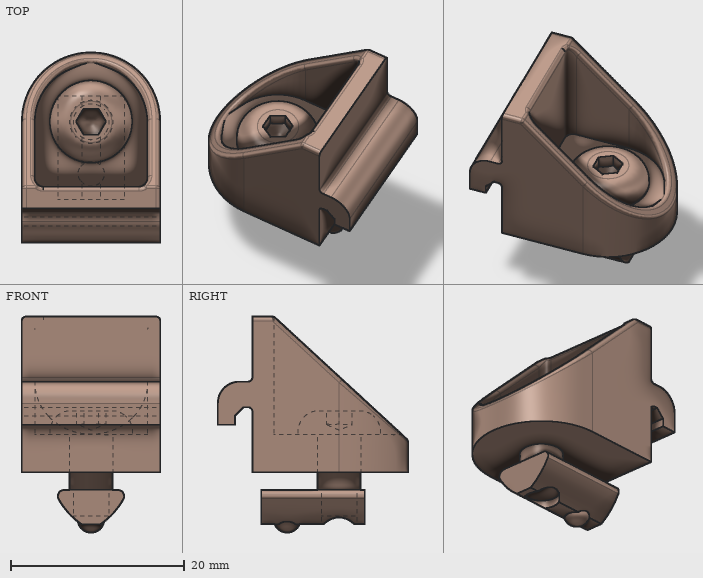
import cadquery as cq
import math


WIDTH = 16.0
HALF_WIDTH = WIDTH / 2
BACK_Y = -10.0
HEIGHT = 18.0
CREST_Y = -7.5
FRONT_HEIGHT = 3.7
EDGE_RADIUS = 0.5

POCKET_MARGIN = 1.5
POCKET_HALF_WIDTH = HALF_WIDTH - POCKET_MARGIN
POCKET_FLOOR_Z = 4.4
POCKET_CORNER_RADIUS = 1.0
SLACK = 0.02

HOOK_TIP_Y = -14.0
HOOK_TOP_Z = 10.48
HOOK_BOTTOM_Z = 5.5
HOOK_UNDERSIDE_Z = 7.5
HOOK_INNER_Y = -12.0
HOOK_OUTER_RADIUS = 2.5
HOOK_CHAMFER = 1.0
HOOK_ROOT_RADIUS = 0.5

SHANK_DIAMETER = 5.0
THREAD_DIAMETER = 4.15
HEAD_DIAMETER = 9.5
HEAD_FLAT_DIAMETER = 4.77
HEAD_HEIGHT = 2.75
SOCKET_FLATS = 3.0
SOCKET_DEPTH = 1.5
SOCKET_CONE_DEPTH = 0.75

NUT_TOP_Z = -2.02
NUT_HEIGHT = 3.97
NUT_FRONT_Y = 3.0
NUT_LENGTH = 11.98
NUT_TOP_FLAT = 6.2
NUT_BOTTOM_FLAT = 2.17
NUT_SHOULDER_RADIUS = 0.75
NUT_SHOULDER_SWEEP = 108
NUT_FLANK_BULGE = 0.25
THREAD_END_Z = -5.0
BALL_RADIUS = 1.55
BALL_Y = -6.0
BALL_BOTTOM_Z = HEIGHT - 24.95


def cylinder(diameter, bottom_z, top_z):
    return cq.Workplane("XY").workplane(offset=bottom_z).circle(diameter / 2).extrude(top_z - bottom_z)


def d_outline(plane, half_width, back_y, front_center_y=0):
    """Rectangle closed by a half circle at the front."""
    return (
        plane.moveTo(-half_width, back_y)
        .lineTo(half_width, back_y)
        .lineTo(half_width, front_center_y)
        .threePointArc((0, front_center_y + half_width), (-half_width, front_center_y))
        .close()
    )


def make_block():
    block = d_outline(cq.Workplane("XY"), HALF_WIDTH, BACK_Y).extrude(HEIGHT)
    side_profile = (
        cq.Workplane("YZ")
        .polyline([
            (BACK_Y, 0),
            (HALF_WIDTH, 0),
            (HALF_WIDTH, FRONT_HEIGHT),
            (CREST_Y, HEIGHT),
            (BACK_Y, HEIGHT),
        ])
        .close()
        .extrude(HALF_WIDTH, both=True)
    )
    block = block.intersect(side_profile)
    level_and_slope = block.faces(">Z").add(block.faces("%PLANE").faces("not (#Z or |Z)"))
    return level_and_slope.edges("not (<Y and |X)").fillet(EDGE_RADIUS)


def cut_pocket(block):
    """Cut right through, round the rim, then fill up to the floor so the floor may trim the rounded rim."""
    pocket = d_outline(cq.Workplane("XY"), POCKET_HALF_WIDTH, CREST_Y).extrude(HEIGHT)
    pocket = pocket.edges("|Z and <Y").fillet(POCKET_CORNER_RADIUS)
    rim_zone = cq.selectors.BoxSelector(
        (-POCKET_HALF_WIDTH - SLACK, CREST_Y - SLACK, SLACK),
        (POCKET_HALF_WIDTH + SLACK, POCKET_HALF_WIDTH + SLACK, HEIGHT + SLACK),
        boundingbox=True,
    )
    rounded = block.cut(pocket).edges(rim_zone).edges("not |Z").fillet(EDGE_RADIUS)
    filling = d_outline(
        cq.Workplane("XY"), POCKET_HALF_WIDTH + EDGE_RADIUS, CREST_Y - EDGE_RADIUS
    ).extrude(POCKET_FLOOR_Z)
    return rounded.union(filling)


def make_hook():
    underside_end_y = HOOK_INNER_Y + HOOK_CHAMFER
    arc_center_y = HOOK_TIP_Y + HOOK_OUTER_RADIUS
    arc_center_z = HOOK_TOP_Z - HOOK_OUTER_RADIUS
    reach = HOOK_OUTER_RADIUS * math.sqrt(0.5)
    return (
        cq.Workplane("YZ")
        .moveTo(BACK_Y, HOOK_TOP_Z)
        .lineTo(arc_center_y, HOOK_TOP_Z)
        .threePointArc((arc_center_y - reach, arc_center_z + reach), (HOOK_TIP_Y, arc_center_z))
        .lineTo(HOOK_TIP_Y, HOOK_BOTTOM_Z)
        .lineTo(HOOK_INNER_Y, HOOK_BOTTOM_Z)
        .lineTo(HOOK_INNER_Y, HOOK_UNDERSIDE_Z - HOOK_CHAMFER)
        .lineTo(underside_end_y, HOOK_UNDERSIDE_Z)
        .lineTo(BACK_Y, HOOK_UNDERSIDE_Z)
        .close()
        .extrude(HALF_WIDTH, both=True)
    )


def make_housing():
    housing = cut_pocket(make_block()).union(make_hook())
    roots = housing.edges("|X").edges(cq.selectors.BoxSelector(
        (-HALF_WIDTH, BACK_Y - SLACK, HOOK_UNDERSIDE_Z - SLACK),
        (HALF_WIDTH, BACK_Y + SLACK, HOOK_TOP_Z + SLACK),
    ))
    housing = roots.fillet(HOOK_ROOT_RADIUS)
    return housing.cut(cylinder(SHANK_DIAMETER, 0, POCKET_FLOOR_Z))


def make_screw():
    head_top_z = POCKET_FLOOR_Z + HEAD_HEIGHT
    head_rounding = (HEAD_DIAMETER - HEAD_FLAT_DIAMETER) / 2
    head = (
        cylinder(HEAD_DIAMETER, POCKET_FLOOR_Z, head_top_z)
        .faces(">Z").edges().fillet(head_rounding)
    )
    shank = cylinder(SHANK_DIAMETER, NUT_TOP_Z, POCKET_FLOOR_Z)
    thread = cylinder(THREAD_DIAMETER, THREAD_END_Z, NUT_TOP_Z)
    socket_corners = SOCKET_FLATS / math.cos(math.pi / 6)
    cone_tip = cq.Workplane(cq.Solid.makeCone(
        socket_corners / 2, 0, SOCKET_CONE_DEPTH,
        pnt=cq.Vector(0, 0, head_top_z - SOCKET_DEPTH), dir=cq.Vector(0, 0, -1),
    ))
    hexagon = (
        cq.Workplane("XY").workplane(offset=head_top_z)
        .polygon(6, socket_corners).extrude(-SOCKET_DEPTH - SOCKET_CONE_DEPTH)
    )
    socket = hexagon.cut(
        cylinder(HEAD_DIAMETER, head_top_z - SOCKET_DEPTH - SOCKET_CONE_DEPTH, head_top_z - SOCKET_DEPTH)
        .cut(cone_tip)
    )
    return head.union(shank).union(thread).cut(socket)


def make_nut():
    bottom_z = NUT_TOP_Z - NUT_HEIGHT
    top_x = NUT_TOP_FLAT / 2
    bottom_x = NUT_BOTTOM_FLAT / 2
    shoulder_z = NUT_TOP_Z - NUT_SHOULDER_RADIUS

    def shoulder_point(turn):
        angle = math.radians(turn)
        return (
            top_x + NUT_SHOULDER_RADIUS * math.sin(angle),
            shoulder_z + NUT_SHOULDER_RADIUS * math.cos(angle),
        )

    def mirrored(point):
        return (-point[0], point[1])

    shoulder_mid = shoulder_point(NUT_SHOULDER_SWEEP / 2)
    shoulder_end = shoulder_point(NUT_SHOULDER_SWEEP)
    run = shoulder_end[0] - bottom_x
    rise = shoulder_end[1] - bottom_z
    chord = math.hypot(run, rise)
    flank_mid = (
        (shoulder_end[0] + bottom_x) / 2 + NUT_FLANK_BULGE * rise / chord,
        (shoulder_end[1] + bottom_z) / 2 - NUT_FLANK_BULGE * run / chord,
    )
    nut = (
        cq.Workplane("XZ", origin=(0, NUT_FRONT_Y, 0))
        .moveTo(-top_x, NUT_TOP_Z)
        .lineTo(top_x, NUT_TOP_Z)
        .threePointArc(shoulder_mid, shoulder_end)
        .threePointArc(flank_mid, (bottom_x, bottom_z))
        .lineTo(-bottom_x, bottom_z)
        .threePointArc(mirrored(flank_mid), mirrored(shoulder_end))
        .threePointArc(mirrored(shoulder_mid), (-top_x, NUT_TOP_Z))
        .close()
        .extrude(NUT_LENGTH)
    )
    ball = cq.Workplane("XY", origin=(0, BALL_Y, BALL_BOTTOM_Z + BALL_RADIUS)).sphere(BALL_RADIUS)
    return nut.union(ball).cut(cylinder(THREAD_DIAMETER, bottom_z, NUT_TOP_Z))


housing = make_housing()
screw = make_screw()
nut = make_nut()
result = cq.Compound.makeCompound([housing.val(), screw.val(), nut.val()])